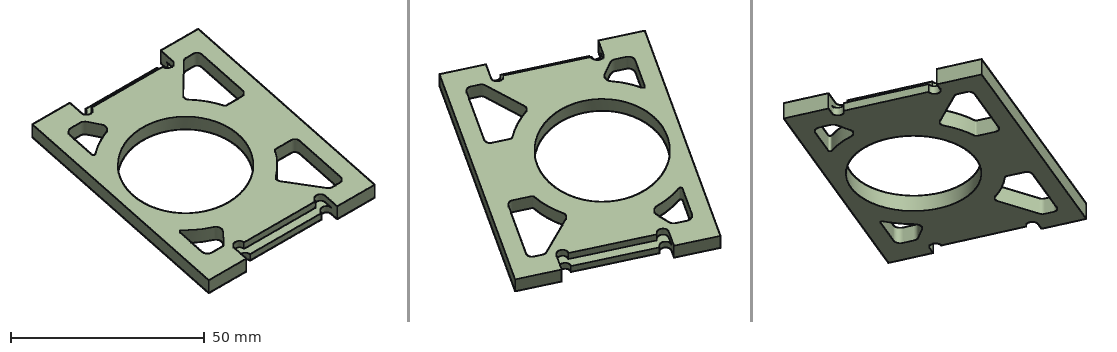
import cadquery as cq

length = 72.5
width = 55.0
thickness = 4.8

bore_radius = 17.5
bore_y = -5.95
bore_wall = 6.15
rim_radius = bore_radius + bore_wall

notch_width = 30.1
notch_step = 2.5
relief_height = 3.2
relief_radius = 1.5
ledge_height = thickness / 2

pocket_edge_y = 22.4
upper_outer_x = -30.0
upper_inner_x = -10.15
upper_corner_y = 17.7
upper_slope_end = (-14.5, 4.85)
lower_outer_x = -28.9
lower_corner_y = -16.5
lower_slope_end = (-17.4, -8.2)
lower_inner_x = -14.5
upper_corner_radius = 1.5
lower_corner_radius = 1.9
small_corner_radius = 0.5


def side_notch(depth, floor_z):
    """Left notch cutter from floor_z up, with a relief at each end of its wall."""
    height = thickness - floor_z
    wall_x = -length / 2 + depth
    relief_y = (notch_width - relief_height) / 2
    reliefs = (
        cq.Workplane("XY", origin=(0, 0, floor_z))
        .pushPoints([(wall_x, -relief_y), (wall_x, relief_y)])
        .slot2D(relief_height, 2 * relief_radius, 90)
        .extrude(height)
    )
    return (
        cq.Workplane("XY", origin=(0, 0, floor_z))
        .center(wall_x - depth / 2, 0)
        .rect(depth, notch_width)
        .extrude(height)
        .union(reliefs)
    )


def pocket(corners, corner_radius, small_corner):
    """Through pocket cut back to the rim circle; the corner nearest small_corner is tighter."""
    rim = cq.Workplane("XY").center(0, bore_y).circle(rim_radius).extrude(thickness)
    blank = cq.Workplane("XY").polyline(corners).close().extrude(thickness).cut(rim)
    tight = cq.selectors.NearestToPointSelector((*small_corner, thickness / 2))
    vertical = cq.selectors.ParallelDirSelector(cq.Vector(0, 0, 1))
    blank = blank.edges(cq.selectors.SubtractSelector(vertical, tight)).fillet(corner_radius)
    return blank.edges(tight).fillet(small_corner_radius)


upper_pocket = pocket(
    [
        (upper_outer_x, pocket_edge_y),
        (upper_inner_x, pocket_edge_y),
        (upper_inner_x, bore_y),
        upper_slope_end,
        (upper_outer_x, upper_corner_y),
    ],
    upper_corner_radius,
    (upper_inner_x, bore_y + (rim_radius**2 - upper_inner_x**2) ** 0.5),
)
lower_pocket = pocket(
    [
        (lower_outer_x, -pocket_edge_y),
        (lower_inner_x, -pocket_edge_y),
        lower_slope_end,
        (lower_outer_x, lower_corner_y),
    ],
    lower_corner_radius,
    (-((rim_radius**2 - (pocket_edge_y + bore_y) ** 2) ** 0.5), -pocket_edge_y),
)

result = cq.Workplane("XY").rect(length, width).extrude(thickness)
bore = cq.Workplane("XY").center(0, bore_y).circle(bore_radius).extrude(thickness)
result = result.cut(bore)

left_cutters = [
    side_notch(notch_step, 0),
    side_notch(2 * notch_step, ledge_height),
    upper_pocket,
    lower_pocket,
]
for cutter in left_cutters:
    result = result.cut(cutter).cut(cutter.mirror("YZ"))